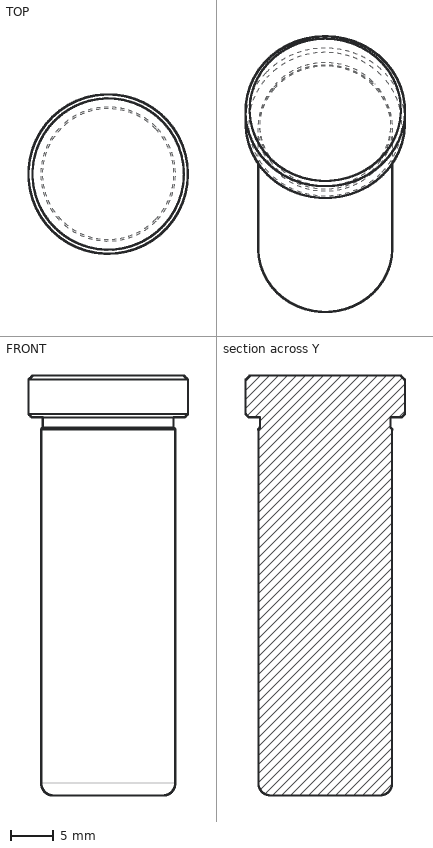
import cadquery as cq

total_length = 50.0
head_diameter = 19.0
head_height = 5.0
head_top_chamfer = 0.5
head_bottom_chamfer = 0.4

shank_diameter = 16.0
groove_diameter = 15.6
groove_width = 1.2
tip_radius = 1.5

head_bottom = total_length - head_height
shank_top = head_bottom - groove_width
groove_depth = (shank_diameter - groove_diameter) / 2


def cylinder(diameter, bottom, top):
    """Cylinder on the Z axis between two heights."""
    return cq.Workplane("XY").workplane(offset=bottom).circle(diameter / 2).extrude(top - bottom)


shank = cylinder(shank_diameter, 0, shank_top)
shank = shank.faces(">Z").edges().chamfer(groove_depth)
shank = shank.faces("<Z").edges().fillet(tip_radius)

neck = cylinder(groove_diameter, shank_top, head_bottom)

head = cylinder(head_diameter, head_bottom, total_length)
head = head.faces(">Z").edges().chamfer(head_top_chamfer)
head = head.faces("<Z").edges().chamfer(head_bottom_chamfer)

result = shank.union(neck).union(head)